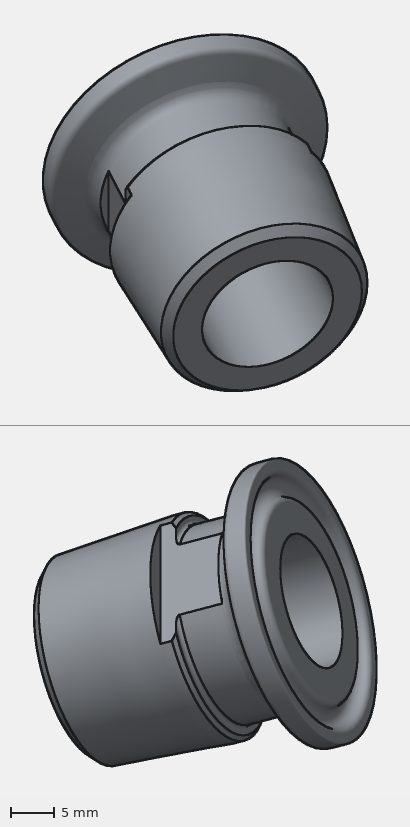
import cadquery as cq
import math

length = 30.0
bore_radius = 8.0

flange_radius = 17.0
face_edge_radius = 0.25
rim_end = 2.28
rim_round = 0.85
back_angle = math.radians(70)

neck_radius = 11.97
neck_start = 6.1
neck_fillet = 1.97
collar_fillet = 0.48

collar_radius = 13.6
collar_start = 11.95
collar_chamfer = 0.55
taper_start = 13.95
taper_end_radius = 12.6
end_chamfer_length = 1.15
end_radius = 11.53

groove_radius = 13.77
groove_half_width = 2.0
groove_floor_radius = 1.25
groove_lip_radius = 0.75
groove_wall_angle = math.radians(20)

flat_distance = 10.98
flat_start = 6.0


def arc_point(center, radius, angle):
    """Point on a circle, with the angle measured from +X toward the radial direction."""
    return center[0] + radius * math.cos(angle), center[1] + radius * math.sin(angle)


def make_body():
    """Turned outer shape with the through bore."""
    quarter = math.pi / 2
    normal_angle = quarter - back_angle
    rim_center = (rim_end, flange_radius - rim_round)
    neck_center = (neck_start, neck_radius + neck_fillet)
    edge_center = (face_edge_radius, flange_radius - face_edge_radius)
    fillet_center = (collar_start - collar_fillet, neck_radius + collar_fillet)

    profile = (
        cq.Workplane("XY")
        .moveTo(0, bore_radius)
        .lineTo(0, edge_center[1])
        .threePointArc(
            arc_point(edge_center, face_edge_radius, 1.5 * quarter),
            (face_edge_radius, flange_radius),
        )
        .lineTo(rim_end, flange_radius)
        .threePointArc(
            arc_point(rim_center, rim_round, (quarter + normal_angle) / 2),
            arc_point(rim_center, rim_round, normal_angle),
        )
        .lineTo(*arc_point(neck_center, neck_fillet, normal_angle + math.pi))
        .threePointArc(
            arc_point(neck_center, neck_fillet, (quarter + normal_angle) / 2 + math.pi),
            (neck_start, neck_radius),
        )
        .lineTo(fillet_center[0], neck_radius)
        .threePointArc(
            arc_point(fillet_center, collar_fillet, -quarter / 2),
            (collar_start, fillet_center[1]),
        )
        .lineTo(collar_start, collar_radius - collar_chamfer)
        .lineTo(collar_start + collar_chamfer, collar_radius)
        .lineTo(taper_start, collar_radius)
        .lineTo(length - end_chamfer_length, taper_end_radius)
        .lineTo(length, end_radius)
        .lineTo(length, bore_radius)
        .close()
    )
    return profile.revolve(360, (0, 0, 0), (1, 0, 0))


def make_groove():
    """Ring cutter: rounded lips, leaning walls and a round floor."""
    lean = groove_wall_angle
    half_lean = (math.pi / 2 + lean) / 2
    lip_width = groove_lip_radius * math.cos(lean)
    lip_depth = groove_lip_radius * (1 - math.sin(lean))
    floor_width = groove_floor_radius * math.cos(lean)
    floor_depth = groove_floor_radius * (1 - math.sin(lean))
    wall_width = groove_half_width - lip_width - floor_width
    wall_end = lip_depth + wall_width / math.tan(lean)

    lip_middle_offset = groove_half_width - groove_lip_radius * math.cos(half_lean)
    lip_middle_depth = groove_lip_radius * (1 - math.sin(half_lean))

    def point(depth, offset):
        return depth, groove_radius + offset

    profile = (
        cq.Workplane("XY")
        .moveTo(*point(0, groove_half_width))
        .threePointArc(
            point(lip_middle_depth, lip_middle_offset),
            point(lip_depth, groove_half_width - lip_width),
        )
        .lineTo(*point(wall_end, floor_width))
        .threePointArc(point(wall_end + floor_depth, 0), point(wall_end, -floor_width))
        .lineTo(*point(lip_depth, lip_width - groove_half_width))
        .threePointArc(
            point(lip_middle_depth, -lip_middle_offset),
            point(0, -groove_half_width),
        )
        .close()
    )
    return profile.revolve(360, (0, 0, 0), (1, 0, 0))


def make_flat_cutter(side):
    """Block that mills one wrench flat, on the side given by the sign of Y."""
    flat_length = taper_start - flat_start
    depth = flange_radius - flat_distance
    return cq.Workplane("XY").box(flat_length, depth, 2 * flange_radius).translate(
        (flat_start + flat_length / 2, side * (flat_distance + depth / 2), 0)
    )


result = make_body().cut(make_groove())
for side in (-1, 1):
    result = result.cut(make_flat_cutter(side))